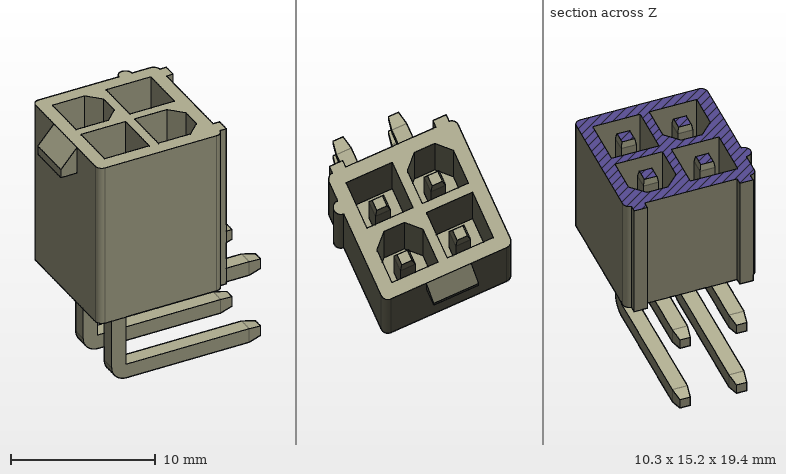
import cadquery as cq


housing_width = 9.8
housing_depth = 9.74
housing_height = 12.8
edge_radius = 0.5
half_width = housing_width / 2
half_depth = housing_depth / 2

rib_width = 1.01
rib_inset = 0.47
bead_y = 2.43

latch_width = 3.4
latch_reach = 1.26
latch_height = 2.1
latch_nose_height = 0.66

pitch = 4.2
cavity_side = 3.5
cavity_chamfer = 0.97
cavity_depth = 10.0

total_height = 19.44
total_depth = 15.22
pin_side = 1.13
tip_side = 0.78
tip_length = 1.0
bend_outer_radius = 1.17
bend_inner_radius = bend_outer_radius - pin_side
pin_top_z = housing_height - 3.0
tail_end_y = total_depth - half_depth - latch_reach
front_tail_bottom_z = housing_height - total_height
back_tail_bottom_z = -pin_side


def make_housing():
    """Rounded block with two ribs on the back and a round bead on the -X side."""
    body = cq.Workplane("XY").box(housing_width, housing_depth, housing_height, centered=(True, True, False))
    body = body.edges("|Z").fillet(edge_radius)

    rib_x = half_width - rib_inset - rib_width / 2
    ribs = (
        cq.Workplane("XY")
        .pushPoints([(-rib_x, half_depth), (rib_x, half_depth)])
        .rect(rib_width, 2 * edge_radius)
        .extrude(housing_height)
    )
    bead = cq.Workplane("XY").center(-half_width, bead_y).circle(edge_radius).extrude(housing_height)
    return body.union(ribs).union(bead)


def make_latch():
    """Wedge that slopes out from the top front edge to a short upright nose."""
    bottom_z = housing_height - latch_height
    return (
        cq.Workplane("YZ")
        .moveTo(-half_depth, housing_height)
        .lineTo(-half_depth - latch_reach, bottom_z + latch_nose_height)
        .lineTo(-half_depth - latch_reach, bottom_z)
        .lineTo(-half_depth, bottom_z)
        .close()
        .extrude(latch_width / 2, both=True)
    )


def make_cavity(x, y, keyed):
    """Square pocket open at the top; a keyed one has both +Y corners cut off."""
    cavity = (
        cq.Workplane("XY", origin=(x, y, housing_height - cavity_depth))
        .rect(cavity_side, cavity_side)
        .extrude(cavity_depth)
    )
    if keyed:
        cavity = cavity.faces(">Y").edges("|Z").chamfer(cavity_chamfer)
    return cavity


def make_tip(base_plane):
    """Four-sided taper that ends a pin, starting on the given plane."""
    return (
        cq.Workplane(base_plane)
        .rect(pin_side, pin_side)
        .workplane(offset=tip_length)
        .rect(tip_side, tip_side)
        .loft(ruled=True)
    )


def make_pin(x, y, tail_bottom_z):
    """Upright square pin, bent to run along +Y, tapered at both ends."""
    front_y = y - pin_side / 2
    back_y = y + pin_side / 2
    tail_top_z = tail_bottom_z + pin_side
    upright_end_z = pin_top_z - tip_length
    tail_straight_end_y = tail_end_y - tip_length
    shaft = (
        cq.Workplane("YZ", origin=(x, 0, 0))
        .moveTo(front_y, upright_end_z)
        .lineTo(front_y, tail_bottom_z + bend_outer_radius)
        .radiusArc((front_y + bend_outer_radius, tail_bottom_z), -bend_outer_radius)
        .lineTo(tail_straight_end_y, tail_bottom_z)
        .lineTo(tail_straight_end_y, tail_top_z)
        .lineTo(back_y + bend_inner_radius, tail_top_z)
        .radiusArc((back_y, tail_top_z + bend_inner_radius), bend_inner_radius)
        .lineTo(back_y, upright_end_z)
        .close()
        .extrude(pin_side / 2, both=True)
    )
    contact_plane = cq.Plane(origin=(x, y, upright_end_z))
    tail_plane = cq.Plane(
        origin=(x, tail_straight_end_y, tail_bottom_z + pin_side / 2), xDir=(1, 0, 0), normal=(0, 1, 0)
    )
    return shaft.union(make_tip(contact_plane)).union(make_tip(tail_plane))


result = make_housing().union(make_latch())

sides = (-1, 1)
for x_sign in sides:
    for y_sign in sides:
        result = result.cut(make_cavity(x_sign * pitch / 2, y_sign * pitch / 2, x_sign == y_sign))

for x_sign in sides:
    result = result.union(make_pin(x_sign * pitch / 2, -pitch / 2, front_tail_bottom_z))
    result = result.union(make_pin(x_sign * pitch / 2, pitch / 2, back_tail_bottom_z))